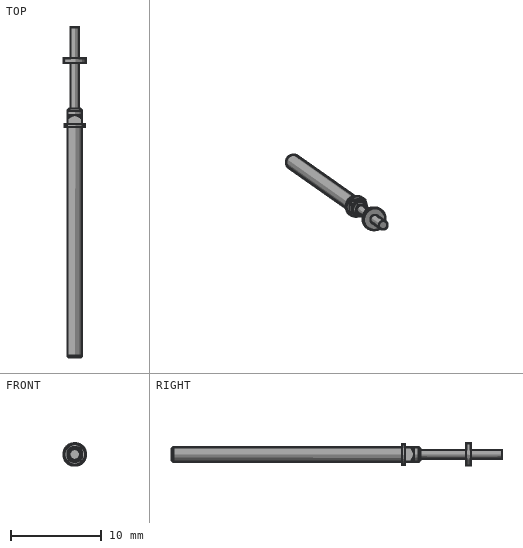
import cadquery as cq

total_length = 36.5

rod_diameter = 1.0
disc_diameter = 2.5
disc_start = 3.43
disc_thickness = 0.55

barrel_diameter = 1.65
tip_chamfer = 0.22

flange_start = 10.7
flange_thickness = 0.33
flange_diameter = 2.3

collar_start = 8.98
collar_diameter = barrel_diameter
collar_chamfer = 0.25

square_start = 9.7
across_flats = barrel_diameter
corner_diameter = flange_diameter
cone_length = 0.35


def cylinder(diameter, start, end):
    """Round bar along Y between two distances from the tail end."""
    tail_face = cq.Workplane("XZ", origin=(0, total_length - start, 0))
    return tail_face.circle(diameter / 2).extrude(end - start)


def square_section():
    """Cone and round bar cut down to four flats facing X and Z."""
    cone_tail_y = total_length - square_start
    cone_base_y = cone_tail_y - cone_length
    flange_y = total_length - flange_start
    profile = [
        (0, cone_tail_y),
        (across_flats / 2, cone_tail_y),
        (corner_diameter / 2, cone_base_y),
        (corner_diameter / 2, flange_y),
        (0, flange_y),
    ]
    turned = cq.Workplane("XY").polyline(profile).close().revolve(360, (0, 0, 0), (0, 1, 0))
    square_face = cq.Workplane("XZ", origin=(0, cone_tail_y, 0)).rect(across_flats, across_flats)
    return turned.intersect(square_face.extrude(flange_start - square_start))


rod = cylinder(rod_diameter, 0, collar_start)
stop_disc = cylinder(disc_diameter, disc_start, disc_start + disc_thickness)
collar = cylinder(collar_diameter, collar_start, square_start).faces(">Y").chamfer(collar_chamfer)
flange = cylinder(flange_diameter, flange_start, flange_start + flange_thickness)
barrel = cylinder(barrel_diameter, flange_start, total_length).faces("<Y").chamfer(tip_chamfer)

result = rod.union(stop_disc).union(collar).union(square_section()).union(flange).union(barrel)